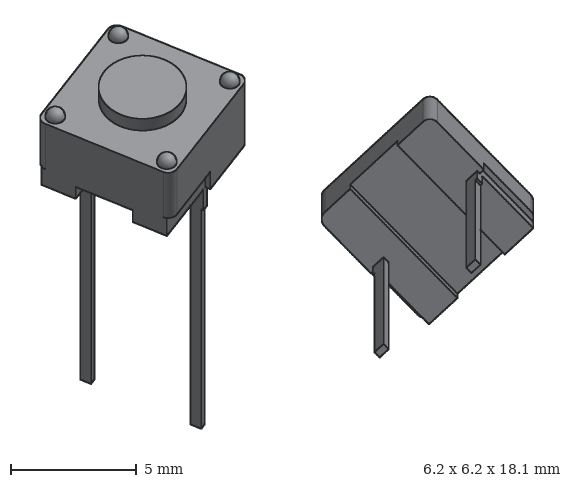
import cadquery as cq

BODY_SIDE = 6.2
BODY_HEIGHT = 3.6
CORNER_RADIUS = 0.4

STEP_HEIGHT = 1.0
STEP_INSET = 0.23

CHANNEL_WIDTH = 2.6
CHANNEL_DEPTH = 0.68

BUTTON_DIAMETER = 3.5
BUTTON_HEIGHT = 0.68
DOME_RADIUS = 0.4
DOME_SPACING = 5.1

OVERALL_HEIGHT = 18.08
LEG_LENGTH = OVERALL_HEIGHT - BODY_HEIGHT - BUTTON_HEIGHT
LEG_WIDTH = 0.5
LEG_THICKNESS = 0.3
LEG_INNER_X = 2.27
SHOULDER_WIDTH = BODY_SIDE / 2 - STEP_INSET - LEG_INNER_X
SHOULDER_LENGTH = 1.2


def box_between(x_range, y_range, z_range):
    """Box filling the given (low, high) range on each axis."""
    (x0, x1), (y0, y1), (z0, z1) = x_range, y_range, z_range
    return cq.Workplane("XY").box(x1 - x0, y1 - y0, z1 - z0, centered=False).translate((x0, y0, z0))


def make_housing():
    """Rounded block whose lower front half is replaced by a narrower square-cornered step."""
    half = BODY_SIDE / 2
    block = (
        cq.Workplane("XY")
        .rect(BODY_SIDE, BODY_SIDE)
        .extrude(BODY_HEIGHT)
        .edges("|Z")
        .fillet(CORNER_RADIUS)
    )
    front_half = box_between((-half, half), (-half, 0), (0, STEP_HEIGHT))
    step_half = half - STEP_INSET
    step = box_between((-step_half, step_half), (-half, 0), (0, STEP_HEIGHT))
    channel = box_between((-CHANNEL_WIDTH / 2, CHANNEL_WIDTH / 2), (-half, half), (0, CHANNEL_DEPTH))
    return block.cut(front_half).union(step).cut(channel)


def make_button():
    """Round push button on the top face."""
    return cq.Workplane("XY").workplane(offset=BODY_HEIGHT).circle(BUTTON_DIAMETER / 2).extrude(BUTTON_HEIGHT)


def make_domes():
    """Spheres centred on the top face, so that their upper halves stand proud."""
    return (
        cq.Workplane("XY")
        .workplane(offset=BODY_HEIGHT)
        .rect(DOME_SPACING, DOME_SPACING, forConstruction=True)
        .vertices()
        .sphere(DOME_RADIUS)
    )


def make_leg():
    """Right-hand leg, with its shoulder on the outer side."""
    thickness = (-LEG_THICKNESS / 2, LEG_THICKNESS / 2)
    blade = box_between((LEG_INNER_X, LEG_INNER_X + LEG_WIDTH), thickness, (-LEG_LENGTH, 0))
    shoulder = box_between((LEG_INNER_X, LEG_INNER_X + SHOULDER_WIDTH), thickness, (-SHOULDER_LENGTH, 0))
    return blade.union(shoulder)


right_leg = make_leg()
left_leg = right_leg.mirror("YZ")

result = make_housing().union(make_button()).union(make_domes()).union(right_leg).union(left_leg)